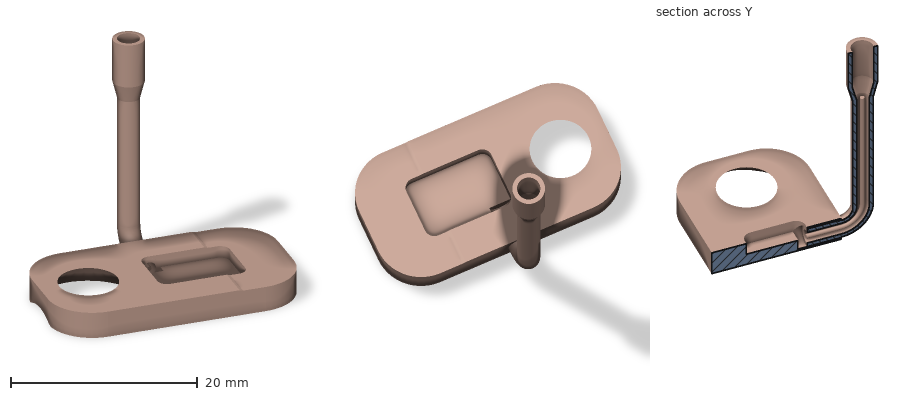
import cadquery as cq
import math

plate_length = 28.0
plate_width = 15.0
plate_thickness = 3.0
corner_radius = 5.0

rear_drop = 0.1
ramp_start = 20.0
ramp_end = 20.38

opening_center_y = 5.5
opening_top_radius = 3.3
opening_bottom_radius = opening_top_radius + plate_thickness

tube_diameter = 2.5
bore_diameter = 1.5
flare_diameter = 3.5
flare_bore_diameter = tube_diameter
tube_axis_height = 1.5
bend_radius = 2.5
total_height = 26.0
flare_length = 5.0
cone_length = 2.0
flare_base = total_height - flare_length
cone_base = flare_base - cone_length
bend_top = tube_axis_height + bend_radius
tube_x = -bend_radius

pocket_width = 7.0
pocket_length = 10.0
pocket_front = 12.5
pocket_corner_radius = 1.1
pocket_left = (plate_width - pocket_width) / 2
pocket_floor = tube_axis_height
groove_length = 1.0

tube_y = pocket_front + tube_diameter / 2
tube_end_x = pocket_left

wire_diameter = 0.5
wire_top = cone_base


def rod_along_x(diameter, start_x, end_x):
    """Cylinder on the horizontal part of the tube axis."""
    return (
        cq.Workplane("YZ", origin=(start_x, tube_y, tube_axis_height))
        .circle(diameter / 2)
        .extrude(end_x - start_x)
    )


def bent_rod(diameter, top):
    """Round rod that follows the tube axis from its end in the plate up to the given height."""
    bend_middle_x = -bend_radius * math.sin(math.radians(45))
    bend_middle_z = bend_top - bend_radius * math.cos(math.radians(45))
    path = (
        cq.Workplane("XZ", origin=(0, tube_y, 0))
        .moveTo(tube_end_x, tube_axis_height)
        .lineTo(0, tube_axis_height)
        .threePointArc((bend_middle_x, bend_middle_z), (tube_x, bend_top))
        .lineTo(tube_x, top)
    )
    return (
        cq.Workplane("YZ", origin=(tube_end_x, tube_y, tube_axis_height))
        .circle(diameter / 2)
        .sweep(path)
    )


def flared_end(narrow_diameter, wide_diameter):
    """Cone and cylinder that widen the upper end of the tube or of its bore."""
    profile = [
        (0, cone_base),
        (narrow_diameter / 2, cone_base),
        (wide_diameter / 2, flare_base),
        (wide_diameter / 2, total_height),
        (0, total_height),
    ]
    return (
        cq.Workplane("XZ", origin=(tube_x, tube_y, 0))
        .polyline(profile)
        .close()
        .revolve(360, (0, 0, 0), (0, 1, 0))
    )


def make_plate():
    side_profile = [
        (0, 0),
        (plate_length, 0),
        (plate_length, plate_thickness - rear_drop),
        (ramp_end, plate_thickness - rear_drop),
        (ramp_start, plate_thickness),
        (0, plate_thickness),
    ]
    body = cq.Workplane("YZ").polyline(side_profile).close().extrude(plate_width)
    body = body.edges("|Z").fillet(corner_radius)

    opening = cq.Workplane(
        cq.Solid.makeCone(
            opening_bottom_radius,
            opening_top_radius,
            plate_thickness,
            pnt=cq.Vector(plate_width / 2, opening_center_y, 0),
        )
    )
    pocket = (
        cq.Workplane("XY", origin=(pocket_left, pocket_front, pocket_floor))
        .rect(pocket_width, pocket_length, centered=False)
        .extrude(plate_thickness - pocket_floor)
        .edges("|Z")
        .fillet(pocket_corner_radius)
    )
    tube_hole = rod_along_x(tube_diameter, 0, pocket_left + groove_length)
    return body.cut(opening).cut(pocket).cut(tube_hole)


def make_tube():
    outside = bent_rod(tube_diameter, cone_base).union(flared_end(tube_diameter, flare_diameter))
    bore = bent_rod(bore_diameter, cone_base).union(flared_end(bore_diameter, flare_bore_diameter))
    return outside.cut(bore)


def make_wire():
    return bent_rod(wire_diameter, wire_top)


plate = make_plate()
tube = make_tube()
wire = make_wire()

result = cq.Compound.makeCompound([body.solids().val() for body in (plate, tube, wire)])